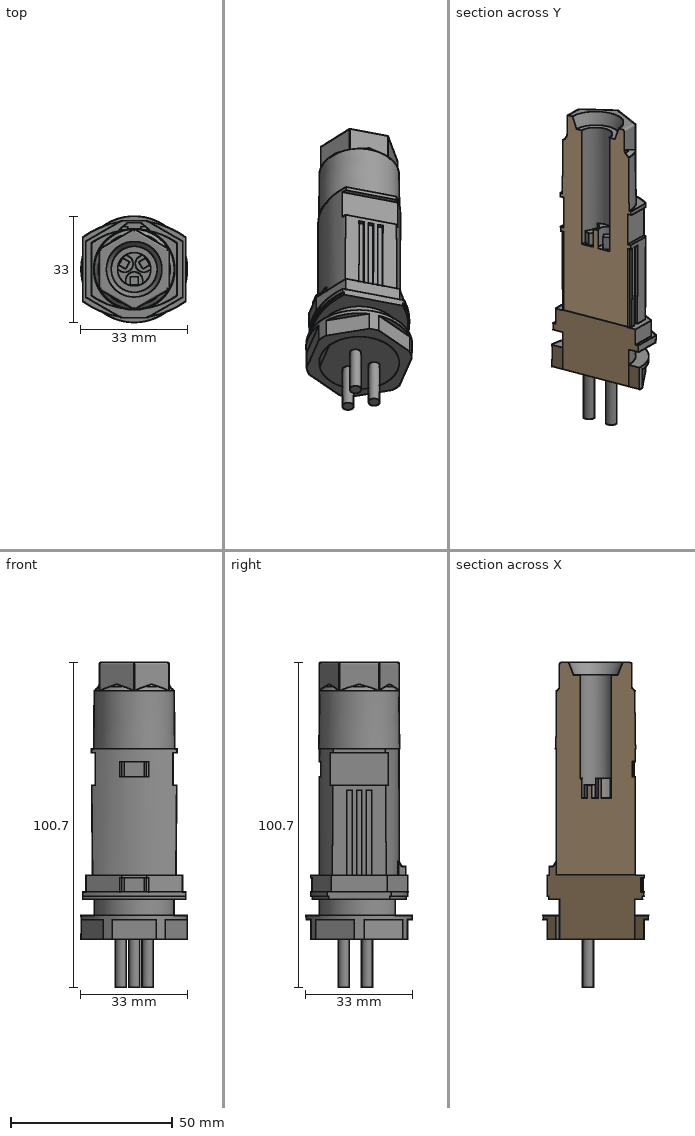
import cadquery as cq
import math


housing_height = 39.1
housing_half_x_top = 13.3
housing_half_x_bottom = 12.95
housing_half_y = 12.4
crown_radius = 22.7
rim_thickness = 1.3
label_half_x = 12.07
label_height = 10.0
rib_slot_width = 1.66
rib_slot_pitch = 3.02
rib_slot_height = 26.3
rib_slot_depth = 0.8
rib_slot_count = 3

window_width = 8.9
window_floor_width = 6.3
window_depth = 1.0
window_step_width = 7.6
window_step_depth = 0.5
housing_window_height = 4.6
housing_window_bottom = 30.5

cap_skirt_height = 17.9
cap_radius_bottom = 12.6
cap_radius_top = 12.4
cap_height = 26.8
cap_hex_flats = 21.6
hex_edge_round = 0.7
funnel_radius_top = 8.6
funnel_radius_bottom = 7.1
funnel_depth = 3.9
cable_bore_radius = 5.15
cable_bore_depth = 36.0
shoulder_blend = 1.2

contact_angles = (-90, 30, 150)
chamber_radius = 2.6
chamber_offset = 3.4
chamber_depth = 6.0
contact_size = 2.5
contact_offset = 3.6
contact_height = 4.0

collar_flats = 30.0
collar_half_y = 15.05
collar_height = 5.4
collar_window_lip = 0.9
flange_half_x = 16.0
flange_corner_y = 9.9
flange_half_y = 15.1
flange_top = -5.2
flange_edge_thickness = 1.4
flange_thickness = 2.3
flange_step = 0.45
thread_radius = 12.4
thread_flat_y = 11.2
lead_radius = 1.75
lead_offset = 4.8
lead_bottom = -34.82

latch_half_top = 2.0
latch_half_bottom = 4.7
latch_outer_y = 14.45
latch_inner_y = 11.5
latch_foot_y = 12.2
latch_height = 2.7
latch_ramp_height = 4.3
latch_ramp_run = 1.0

nut_top = -12.5
nut_height = 7.4
nut_flange_height = 1.3
nut_flats = 30.0
nut_radius = 16.5


def crowned_plate(half_x, corner_y, half_y, height):
    """Plate with flat sides at +-X and an arc at +-Y, standing on Z = 0."""
    return (
        cq.Workplane("XY")
        .moveTo(half_x, -corner_y)
        .lineTo(half_x, corner_y)
        .threePointArc((0, half_y), (-half_x, corner_y))
        .lineTo(-half_x, -corner_y)
        .threePointArc((0, -half_y), (half_x, -corner_y))
        .close()
        .extrude(height)
    )


def hex_prism(flats, height):
    """Hexagonal prism on Z = 0 with corners at +-Y."""
    corner_diameter = flats / math.cos(math.pi / 6)
    return cq.Workplane("XY").polygon(6, corner_diameter).extrude(height).rotate((0, 0, 0), (0, 0, 1), 30)


def on_bolt_circle(shape):
    """One copy of a shape, drawn on the +X side, for each contact position."""
    return [shape.rotate((0, 0, 0), (0, 0, 1), angle) for angle in contact_angles]


def box_on(width_x, width_y, height, x, y, z):
    """Box centred at x, y with its bottom at z."""
    return cq.Workplane("XY").box(width_x, width_y, height, centered=(True, True, False)).translate((x, y, z))


def latch_window(front_y, bottom, height):
    """Cutter for a stepped window sunk into the front face at front_y."""
    cutter = box_on(window_width, 2 * window_step_depth, height, 0, front_y, bottom)
    middle_depth = (window_step_depth + window_depth) / 2
    cutter = cutter.union(box_on(window_step_width, 2 * middle_depth, height, 0, front_y, bottom))
    return cutter.union(box_on(window_floor_width, 2 * window_depth, height, 0, front_y, bottom))


def housing_envelope():
    """Curved front and back, with the two leaning side faces."""
    arc_drop = crown_radius - math.sqrt(crown_radius**2 - housing_half_x_top**2)
    body = crowned_plate(housing_half_x_top, housing_half_y - arc_drop, housing_half_y, housing_height)
    sides = (
        cq.Workplane("XZ")
        .polyline([
            (-housing_half_x_bottom, 0),
            (housing_half_x_bottom, 0),
            (housing_half_x_top, housing_height),
            (-housing_half_x_top, housing_height),
        ])
        .close()
        .extrude(2 * housing_half_y, both=True)
    )
    return body.intersect(sides)


def make_housing():
    body = housing_envelope()
    label_bottom = housing_height - rim_thickness - label_height
    for side in (-1, 1):
        recess_x = side * (label_half_x + housing_half_x_top)
        label = box_on(2 * housing_half_x_top, 4 * housing_half_y, label_height, recess_x, 0, label_bottom)
        body = body.cut(label)
        slot_x = side * housing_half_x_bottom
        for index in range(rib_slot_count):
            slot_y = (index - (rib_slot_count - 1) / 2) * rib_slot_pitch
            slot = box_on(2 * rib_slot_depth, rib_slot_width, rib_slot_height, slot_x, slot_y, 0)
            body = body.cut(slot)
    return body.cut(latch_window(-housing_half_y, housing_window_bottom, housing_window_height))


def make_cap():
    """Tapered round skirt with a hexagon on top, joined by a 45 degree shoulder."""
    hexagon = hex_prism(cap_hex_flats, cap_height).faces(">Z").edges().fillet(hex_edge_round)
    hexagon = hexagon.intersect(cq.Workplane("XY").circle(cap_radius_top).extrude(cap_height))
    flat_radius = cap_hex_flats / 2
    shoulder_top = cap_skirt_height + cap_radius_top - flat_radius
    blend_length = shoulder_blend * math.tan(math.pi / 8)
    blend_leg = blend_length * math.sin(math.pi / 4)
    blend_sag = shoulder_blend * (1 - math.cos(math.pi / 8))
    blend_middle_z = shoulder_top + blend_length - shoulder_blend * math.sin(math.pi / 8)
    skirt = (
        cq.Workplane("XZ")
        .moveTo(0, 0)
        .lineTo(cap_radius_bottom, 0)
        .lineTo(cap_radius_top, cap_skirt_height)
        .lineTo(flat_radius + blend_leg, shoulder_top - blend_leg)
        .threePointArc(
            (flat_radius + blend_sag, blend_middle_z),
            (flat_radius, shoulder_top + blend_length),
        )
        .lineTo(0, shoulder_top + blend_length)
        .close()
        .revolve(360, (0, 0, 0), (0, 1, 0))
    )
    return hexagon.union(skirt).translate((0, 0, housing_height))


def cable_entry():
    """Cutter for the funnel, its ledge and the cable bore."""
    top = housing_height + cap_height
    return (
        cq.Workplane("XZ")
        .polyline([
            (0, top),
            (funnel_radius_top, top),
            (funnel_radius_bottom, top - funnel_depth),
            (cable_bore_radius, top - funnel_depth),
            (cable_bore_radius, top - cable_bore_depth),
            (0, top - cable_bore_depth),
        ])
        .close()
        .revolve(360, (0, 0, 0), (0, 1, 0))
    )


def make_plug():
    plug = make_housing().union(make_cap()).cut(cable_entry())
    chamber_bottom = housing_height + cap_height - cable_bore_depth - chamber_depth
    floor_plane = cq.Workplane("XY").workplane(offset=chamber_bottom)
    bore_core = floor_plane.circle(cable_bore_radius).extrude(chamber_depth)
    outer_x = chamber_offset + chamber_radius / 2
    chamber = (
        cq.Workplane("XY")
        .workplane(offset=chamber_bottom)
        .center(chamber_offset, 0)
        .circle(chamber_radius)
        .extrude(chamber_depth)
        .union(box_on(chamber_radius, 2 * chamber_radius, chamber_depth, outer_x, 0, chamber_bottom))
        .intersect(bore_core)
    )
    contact = box_on(contact_size, contact_size, contact_height, contact_offset, 0, chamber_bottom)
    for cutter in on_bolt_circle(chamber):
        plug = plug.cut(cutter)
    for post in on_bolt_circle(contact):
        plug = plug.union(post)
    return plug


def make_collar():
    collar = hex_prism(collar_flats, collar_height)
    collar = collar.intersect(box_on(2 * collar_flats, 2 * collar_half_y, collar_height, 0, 0, 0))
    window = latch_window(-collar_half_y, 0, collar_height - collar_window_lip)
    return collar.cut(window).translate((0, 0, -collar_height))


def make_flange():
    upper = crowned_plate(flange_half_x, flange_corner_y, flange_half_y, flange_edge_thickness)
    lower = crowned_plate(
        flange_half_x,
        flange_corner_y - flange_step,
        flange_half_y - flange_step,
        flange_thickness,
    )
    return upper.translate((0, 0, flange_top - flange_edge_thickness)).union(
        lower.translate((0, 0, flange_top - flange_thickness))
    )


def make_thread(radius, bottom):
    """Plain stem of the thread with its anti-rotation flat, from the flange down to bottom."""
    length = flange_top - bottom
    stem = cq.Workplane("XY").workplane(offset=bottom).circle(radius).extrude(length)
    flat_cutter = box_on(2 * radius, 2 * radius, length, 0, thread_flat_y + radius, bottom)
    return stem.cut(flat_cutter)


def make_latch():
    """Tongue with a flat middle and a ramp on each wing, fitted to the back of the housing."""
    tongue = (
        cq.Workplane("XY")
        .polyline([
            (-latch_half_bottom, latch_inner_y),
            (latch_half_bottom, latch_inner_y),
            (latch_half_bottom, latch_foot_y),
            (latch_half_top, latch_outer_y),
            (-latch_half_top, latch_outer_y),
            (-latch_half_bottom, latch_foot_y),
        ])
        .close()
        .extrude(latch_ramp_height)
    )
    ramp = (
        cq.Workplane("YZ")
        .polyline([
            (latch_inner_y, 0),
            (latch_outer_y, 0),
            (latch_outer_y, latch_height),
            (latch_foot_y + latch_ramp_run, latch_height),
            (latch_foot_y, latch_ramp_height),
            (latch_inner_y, latch_ramp_height),
        ])
        .close()
        .extrude(latch_half_bottom, both=True)
    )
    relief_width = 2 * latch_half_top
    middle_relief = box_on(relief_width, 2 * latch_outer_y, latch_ramp_height, 0, latch_outer_y, latch_height)
    return tongue.intersect(ramp).cut(middle_relief).cut(housing_envelope())


def make_socket():
    nut_bottom = nut_top - nut_height
    socket = make_collar().union(make_flange())
    socket = socket.union(make_thread(thread_radius, nut_bottom))
    socket = socket.union(make_latch())
    lead_plane = cq.Workplane("XY").workplane(offset=lead_bottom)
    lead = lead_plane.center(lead_offset, 0).circle(lead_radius).extrude(nut_bottom - lead_bottom)
    for wire in on_bolt_circle(lead):
        socket = socket.union(wire)
    return socket


def make_lock_nut():
    grip = hex_prism(nut_flats, nut_height)
    grip = grip.intersect(cq.Workplane("XY").circle(nut_radius).extrude(nut_height))
    washer = cq.Workplane("XY").workplane(offset=nut_height - nut_flange_height).circle(nut_radius)
    nut = grip.union(washer.extrude(nut_flange_height))
    nut = nut.rotate((0, 0, 0), (0, 0, 1), 30)
    thread_hole = cq.Workplane("XY").circle(thread_radius).extrude(nut_height)
    return nut.cut(thread_hole).translate((0, 0, nut_top - nut_height))


plug = make_plug()
socket = make_socket()
lock_nut = make_lock_nut()

result = cq.Compound.makeCompound([plug.val(), socket.val(), lock_nut.val()])